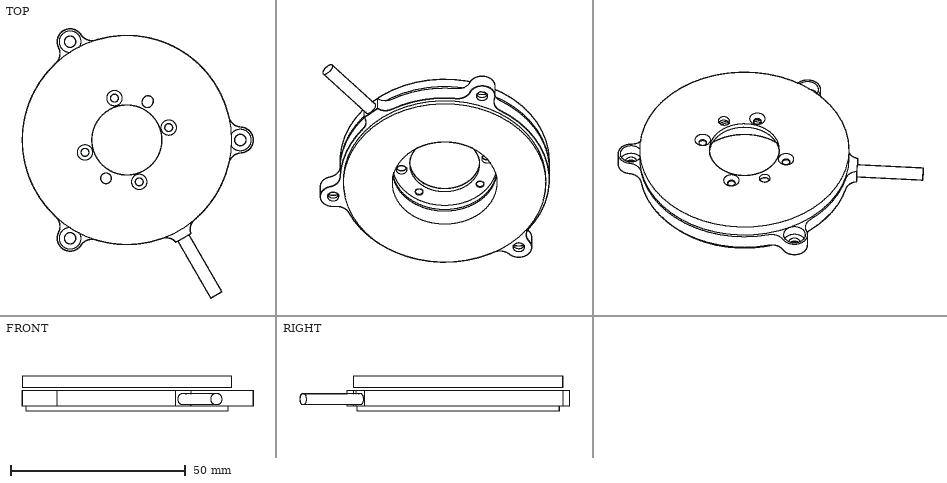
import cadquery as cq
import math

disc_radius = 30.0
rotor_thickness = 3.4
air_gap = 0.76
stator_flange_thickness = 4.55
flange_edge_chamfer = 0.1
stator_base_thickness = 1.4
stator_base_radius = disc_radius - 1.0
stator_bore_radius = 15.0

rotor_bore_radius = 10.0
rotor_web_thickness = 1.5
rotor_pocket_radius = stator_bore_radius

bolt_circle_radius = 12.5
first_screw_angle = 16.5
screw_count = 4
screw_hole_diameter = 2.2
countersink_diameter = 4.4
countersink_angle = 90.0
dowel_hole_diameter = 3.0
dowel_slot_length = 3.4
dowel_slot_angle = first_screw_angle + 45.0
dowel_hole_angle = dowel_slot_angle + 180.0

ear_angles = (0.0, 120.0, 240.0)
ear_centre_radius = 32.5
ear_radius = 3.75
ear_fillet_radius = ear_radius
ear_hole_diameter = 3.2
ear_counterbore_diameter = 6.2
ear_counterbore_depth = 3.2

cable_angle = -60.0
cable_width = 3.7
cable_height = 3.2
cable_reach = 51.27
outlet_reach = 32.4
outlet_half_width = 2.5
outlet_fillet_radius = 3.5
cable_drop = 0.25

flange_bottom = stator_base_thickness
flange_top = flange_bottom + stator_flange_thickness
rotor_bottom = flange_top + air_gap
rotor_top = rotor_bottom + rotor_thickness
cable_level = flange_bottom + stator_flange_thickness / 2 - cable_drop


def polar(radius, angle):
    """Point at a radius and an angle in degrees."""
    return radius * math.cos(math.radians(angle)), radius * math.sin(math.radians(angle))


def disc(radius, bottom, height):
    return cq.Workplane("XY").workplane(offset=bottom).circle(radius).extrude(height)


def between(start, end, distance):
    """Point a given distance from start on the line towards end."""
    share = distance / math.dist(start, end)
    return start[0] + share * (end[0] - start[0]), start[1] + share * (end[1] - start[1])


def mirrored(point):
    return point[0], -point[1]


def make_rotor():
    rotor = disc(disc_radius, rotor_bottom, rotor_thickness)
    rotor = rotor.cut(disc(rotor_pocket_radius, rotor_bottom, rotor_thickness - rotor_web_thickness))
    rotor = rotor.cut(disc(rotor_bore_radius, rotor_bottom, rotor_thickness))

    screw_points = [
        polar(bolt_circle_radius, first_screw_angle + i * 360.0 / screw_count) for i in range(screw_count)
    ]
    top_plane = cq.Workplane("XY").workplane(offset=rotor_top)
    rotor = (
        rotor.copyWorkplane(top_plane)
        .pushPoints(screw_points)
        .cskHole(screw_hole_diameter, countersink_diameter, countersink_angle)
    )
    rotor = (
        rotor.copyWorkplane(top_plane)
        .pushPoints([polar(bolt_circle_radius, dowel_hole_angle)])
        .hole(dowel_hole_diameter)
    )
    return (
        rotor.copyWorkplane(top_plane)
        .pushPoints([polar(bolt_circle_radius, dowel_slot_angle)])
        .slot2D(dowel_slot_length, dowel_hole_diameter, dowel_slot_angle)
        .cutBlind(-rotor_thickness)
    )


def make_ear():
    """Screw ear on +X, blended into the disc by arcs tangent to both circles."""
    ear_centre = (ear_centre_radius, 0.0)
    disc_to_fillet = disc_radius + ear_fillet_radius
    ear_to_fillet = ear_radius + ear_fillet_radius
    fillet_x = (disc_to_fillet**2 + ear_centre_radius**2 - ear_to_fillet**2) / (2 * ear_centre_radius)
    fillet_centre = (fillet_x, math.sqrt(disc_to_fillet**2 - fillet_x**2))
    disc_tangent = between((0.0, 0.0), fillet_centre, disc_radius)
    ear_tangent = between(ear_centre, fillet_centre, ear_radius)
    chord_middle = tuple((a + b) / 2 for a, b in zip(disc_tangent, ear_tangent))
    fillet_middle = between(fillet_centre, chord_middle, ear_fillet_radius)
    return (
        cq.Workplane("XY")
        .workplane(offset=flange_bottom)
        .moveTo(stator_bore_radius, 0)
        .lineTo(*disc_tangent)
        .threePointArc(fillet_middle, ear_tangent)
        .threePointArc((ear_centre_radius + ear_radius, 0), mirrored(ear_tangent))
        .threePointArc(mirrored(fillet_middle), mirrored(disc_tangent))
        .close()
        .extrude(stator_flange_thickness)
    )


def make_ear_hole():
    """Counterbored through hole of the ear on +X."""
    counterbore_bottom = flange_top - ear_counterbore_depth
    hole = disc(ear_hole_diameter / 2, flange_bottom, stator_flange_thickness)
    counterbore = disc(ear_counterbore_diameter / 2, counterbore_bottom, ear_counterbore_depth)
    return hole.union(counterbore).translate((ear_centre_radius, 0, 0))


def make_cable_outlet():
    """Flat-ended outlet on +X with concave flanks tangent to the disc."""
    fillet_y = outlet_half_width + outlet_fillet_radius
    fillet_x = math.sqrt((disc_radius + outlet_fillet_radius) ** 2 - fillet_y**2)
    fillet_centre = (fillet_x, fillet_y)
    disc_tangent = between((0.0, 0.0), fillet_centre, disc_radius)
    corner_rise = math.sqrt(outlet_fillet_radius**2 - (fillet_x - outlet_reach) ** 2)
    corner = (outlet_reach, fillet_y - corner_rise)
    chord_middle = tuple((a + b) / 2 for a, b in zip(disc_tangent, corner))
    flank_middle = between(fillet_centre, chord_middle, outlet_fillet_radius)
    return (
        cq.Workplane("XY")
        .workplane(offset=flange_bottom)
        .moveTo(stator_bore_radius, 0)
        .lineTo(*disc_tangent)
        .threePointArc(flank_middle, corner)
        .lineTo(*mirrored(corner))
        .threePointArc(mirrored(flank_middle), mirrored(disc_tangent))
        .close()
        .extrude(stator_flange_thickness)
    )


def make_cable():
    """Cable of rounded flat section, leaving the outlet face along +X."""
    return (
        cq.Workplane("YZ", origin=(outlet_reach, 0, cable_level))
        .slot2D(cable_width, cable_height)
        .extrude(cable_reach - outlet_reach)
    )


def turned(shape, angle):
    return shape.rotate((0, 0, 0), (0, 0, 1), angle)


def make_stator():
    stator = disc(disc_radius, flange_bottom, stator_flange_thickness)
    for angle in ear_angles:
        stator = stator.union(turned(make_ear(), angle))
    stator = stator.union(turned(make_cable_outlet(), cable_angle))
    stator = stator.faces("<Z").edges().chamfer(flange_edge_chamfer)
    stator = stator.union(disc(stator_base_radius, 0, stator_base_thickness))
    for angle in ear_angles:
        stator = stator.cut(turned(make_ear_hole(), angle))
    stator = stator.cut(disc(stator_bore_radius, 0, flange_top))
    return stator.union(turned(make_cable(), cable_angle))


rotor = make_rotor()
stator = make_stator()

result = cq.Compound.makeCompound([rotor.val(), stator.val()])